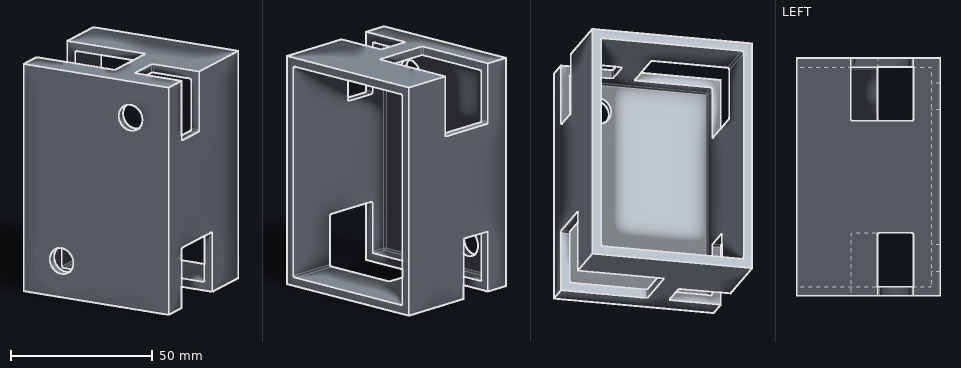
import cadquery as cq

WIDTH = 58.7
DEPTH = 50.8
HEIGHT = 84.1
WALL = 3.2
CORNER_RADIUS = 0.7

WINDOW_FRONT = 9.5
WINDOW_HEIGHT = 22.2
LARGE_WINDOW_WIDTH = 31.7
LARGE_WINDOW_BACK = 31.7
SMALL_WINDOW_WIDTH = 19.0
SMALL_WINDOW_BACK = 22.2

HOLE_DIAMETER = 9.5
HOLE_OFFSET_X = 14.0
HOLE_OFFSET_Z = 28.6


def make_box(width, depth, height):
    """Box with its front face on y = 0, centred in X and Z."""
    return cq.Workplane("XY").box(width, depth, height, centered=(True, False, True))


def make_shell():
    """Box with five walls, open at the back and rounded along its inner edges."""
    cavity = make_box(WIDTH - 2 * WALL, DEPTH, HEIGHT - 2 * WALL).translate((0, WALL, 0))
    cavity = cavity.edges("|Y or <Y").fillet(CORNER_RADIUS)
    return make_box(WIDTH, DEPTH, HEIGHT).cut(cavity)


def corner_window(width, back, side_x, side_z):
    """Cutter with rounded inner edges for the corner at the signs side_x and side_z."""
    cutter = make_box(2 * width, back - WINDOW_FRONT, 2 * WINDOW_HEIGHT).edges().fillet(CORNER_RADIUS)
    return cutter.translate((side_x * WIDTH / 2, WINDOW_FRONT, side_z * HEIGHT / 2))


def front_hole(side):
    """Cutter for one round hole through the front wall."""
    hole = cq.Workplane("XZ").circle(HOLE_DIAMETER / 2).extrude(-WALL)
    return hole.translate((side * HOLE_OFFSET_X, 0, side * HOLE_OFFSET_Z))


def make_housing():
    """Shell with two windows at each end and one front hole near each end."""
    housing = make_shell()
    for side in (1, -1):
        housing = housing.cut(corner_window(LARGE_WINDOW_WIDTH, LARGE_WINDOW_BACK, -side, side))
        housing = housing.cut(corner_window(SMALL_WINDOW_WIDTH, SMALL_WINDOW_BACK, side, side))
        housing = housing.cut(front_hole(side))
    return housing


housing = make_housing()
result = cq.Compound.makeCompound([housing.val()])